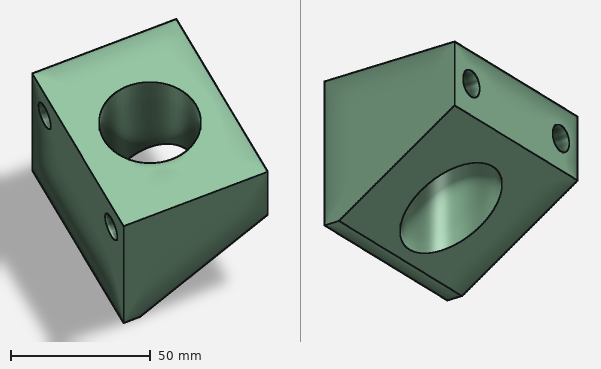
import cadquery as cq

width = 76.2
depth = 57.15
height = 57.15

rear_face_height = 25.4
foot_depth = 6.4

bore_diameter = 36.5

mount_hole_diameter = 10.3
mount_hole_spacing = 55.4
mount_hole_drop = 12.7


def make_body():
    """Wedge-bottomed block centred on X and Y, standing on Z = 0."""
    front = -depth / 2
    rear = depth / 2
    profile = [
        (front, 0),
        (front + foot_depth, 0),
        (rear, height - rear_face_height),
        (rear, height),
        (front, height),
    ]
    return cq.Workplane("YZ").polyline(profile).close().extrude(width / 2, both=True)


def make_bore():
    return cq.Workplane("XY").circle(bore_diameter / 2).extrude(height)


def make_mount_holes():
    hole_z = height - mount_hole_drop
    half_spacing = mount_hole_spacing / 2
    return (
        cq.Workplane("XZ")
        .pushPoints([(-half_spacing, hole_z), (half_spacing, hole_z)])
        .circle(mount_hole_diameter / 2)
        .extrude(depth / 2, both=True)
    )


result = make_body().cut(make_bore()).cut(make_mount_holes())